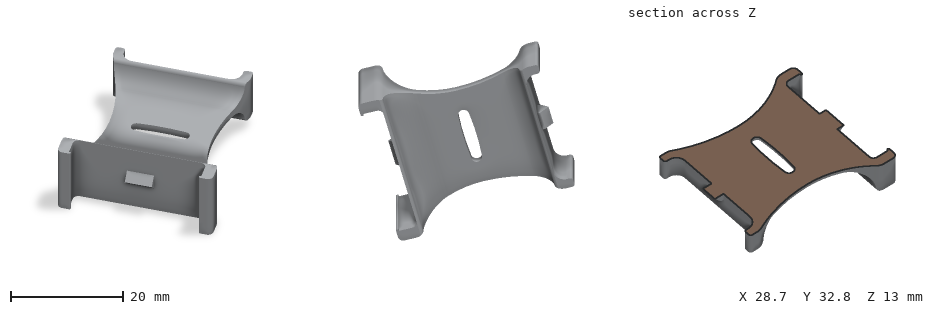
import cadquery as cq
import math

WEB_THICKNESS = 1.4
WAIST_HALF_WIDTH = 9.45

PLATE_FACE_Y = 12.9
PLATE_THICKNESS = 0.55
CREST_HEIGHT = 0.8
FLANK_BLEND_RADIUS = 2.5

FRONT_HEIGHT = 13.0
FRONT_HALF_WIDTH = 14.35
FRONT_ARM_LENGTH = 4.0
FRONT_WAIST_RADIUS = 19.5
FRONT_COVE_LENGTH = 5.4
FRONT_TIP_RADIUS = 1.0
FRONT_CHANNEL_HALF_WIDTH = 12.22
FRONT_CHANNEL_RADIUS = 1.0
LIP_HALF_GAP = 11.85
LIP_THICKNESS = 0.5
LIP_RADIUS = 0.25

BACK_HEIGHT = 8.9
BACK_HALF_WIDTH = 12.72
BACK_ARM_LENGTH = 3.0
BACK_WAIST_RADIUS = 30.0
BACK_COVE_LENGTH = 3.37
BACK_TIP_RADIUS = 0.5
BACK_CHANNEL_HALF_WIDTH = 10.95
BACK_CHANNEL_RADIUS = 2.0

SLOT_HALF_LENGTH = 5.4
SLOT_END_RADIUS = 1.0
SLOT_MID_HALF_WIDTH = 1.2

TAB_PROJECTION = 1.5
FRONT_TAB_WIDTH = 5.0
BACK_TAB_WIDTH = 3.4
BACK_TAB_BASE = 0.5

FRONT_END_Y = PLATE_FACE_Y + FRONT_ARM_LENGTH
BACK_END_Y = PLATE_FACE_Y + BACK_ARM_LENGTH


def half_end_outline(half_width, end_y, waist_radius, tip_radius):
    """Solid plan of one end, pointing to +Y, with concave flanks and rounded tips."""
    waist_center_x = WAIST_HALF_WIDTH + waist_radius
    blend_x = half_width - FLANK_BLEND_RADIUS
    center_distance = waist_radius + FLANK_BLEND_RADIUS
    blend_y = math.sqrt(center_distance**2 - (waist_center_x - blend_x) ** 2)
    join_angle = math.asin(blend_y / center_distance)

    def waist_point(angle):
        x = waist_center_x - waist_radius * math.cos(angle)
        return (x, waist_radius * math.sin(angle))

    blend_mid = (
        blend_x + FLANK_BLEND_RADIUS * math.cos(join_angle / 2),
        blend_y - FLANK_BLEND_RADIUS * math.sin(join_angle / 2),
    )
    tip_center = (half_width - tip_radius, end_y - tip_radius)
    tip_offset = tip_radius * math.sqrt(0.5)
    tip_mid = (tip_center[0] + tip_offset, tip_center[1] + tip_offset)
    right_half = (
        cq.Workplane("XY")
        .moveTo(0, 0)
        .lineTo(WAIST_HALF_WIDTH, 0)
        .threePointArc(waist_point(join_angle / 2), waist_point(join_angle))
        .threePointArc(blend_mid, (half_width, blend_y))
        .lineTo(half_width, tip_center[1])
        .threePointArc(tip_mid, (tip_center[0], end_y))
        .lineTo(0, end_y)
        .close()
        .extrude(FRONT_HEIGHT / 2, both=True)
    )
    return right_half.union(right_half.mirror("YZ"))


def channel(half_width, length, corner_radius):
    """Recess between two arms, pointing to +Y, with rounded inner corners."""
    return (
        cq.Workplane("XY")
        .center(0, PLATE_FACE_Y + length)
        .rect(2 * half_width, 2 * length)
        .extrude(FRONT_HEIGHT / 2, both=True)
        .edges("|Z and <Y")
        .fillet(corner_radius)
    )


def round_inner_tips(body, half_gap, end_y, radius):
    """Round the two vertical edges where the gap between the arms meets their ends."""
    reach = radius / 2
    inner_tips = cq.selectors.BoxSelector(
        (-half_gap - reach, end_y - reach, -FRONT_HEIGHT),
        (half_gap + reach, end_y + reach, FRONT_HEIGHT),
    )
    return body.edges("|Z").edges(inner_tips).fillet(radius)


def front_end():
    """Tall end, built pointing to +Y and turned to the front."""
    lip_y = FRONT_END_Y - LIP_THICKNESS
    body = half_end_outline(FRONT_HALF_WIDTH, FRONT_END_Y, FRONT_WAIST_RADIUS, FRONT_TIP_RADIUS)
    recess = channel(FRONT_CHANNEL_HALF_WIDTH, FRONT_ARM_LENGTH, FRONT_CHANNEL_RADIUS)
    below_lips = cq.Workplane("XY").box(2 * FRONT_HALF_WIDTH, 2 * lip_y, FRONT_HEIGHT)
    gap = (
        cq.Workplane("XY")
        .center(0, FRONT_END_Y - LIP_THICKNESS / 2)
        .rect(2 * LIP_HALF_GAP, LIP_THICKNESS)
        .extrude(FRONT_HEIGHT / 2, both=True)
    )
    body = body.cut(recess.intersect(below_lips)).cut(gap)
    body = round_inner_tips(body, LIP_HALF_GAP, FRONT_END_Y, LIP_RADIUS)
    return body.mirror("XZ")


def back_end():
    """Low end with plain arms whose tips are rounded on both sides."""
    body = half_end_outline(BACK_HALF_WIDTH, BACK_END_Y, BACK_WAIST_RADIUS, BACK_TIP_RADIUS)
    body = body.cut(channel(BACK_CHANNEL_HALF_WIDTH, BACK_ARM_LENGTH, BACK_CHANNEL_RADIUS))
    return round_inner_tips(body, BACK_CHANNEL_HALF_WIDTH, BACK_END_Y, BACK_TIP_RADIUS)


def side_profile(height, end_y, cove_length):
    """Side profile of one end, pointing to +Y, swept over the full width."""
    web_z = WEB_THICKNESS / 2
    top_z = height / 2
    inner_y = PLATE_FACE_Y - PLATE_THICKNESS
    crest_z = top_z - CREST_HEIGHT
    cove_height = crest_z - web_z
    cove_start_y = inner_y - cove_length
    cove_radius = (cove_length**2 + cove_height**2) / (2 * cove_height)
    cove_half_sweep = math.atan2(cove_height, cove_length)
    cove_mid = (
        cove_start_y + cove_radius * math.sin(cove_half_sweep),
        web_z + cove_radius * (1 - math.cos(cove_half_sweep)),
    )
    crest_radius = (PLATE_THICKNESS**2 + CREST_HEIGHT**2) / (2 * PLATE_THICKNESS)
    crest_half_sweep = math.atan2(PLATE_THICKNESS, CREST_HEIGHT)
    crest_mid = (
        inner_y + crest_radius * (1 - math.cos(crest_half_sweep)),
        crest_z + crest_radius * math.sin(crest_half_sweep),
    )
    upper_half = (
        cq.Workplane("YZ")
        .moveTo(0, 0)
        .lineTo(0, web_z)
        .lineTo(cove_start_y, web_z)
        .threePointArc(cove_mid, (inner_y, crest_z))
        .threePointArc(crest_mid, (PLATE_FACE_Y, top_z))
        .lineTo(end_y, top_z)
        .lineTo(end_y, 0)
        .close()
        .extrude(FRONT_HALF_WIDTH, both=True)
    )
    return upper_half.union(upper_half.mirror("XY"))


def slot():
    """Slot cutter running along X."""
    end_x = SLOT_HALF_LENGTH - SLOT_END_RADIUS
    return (
        cq.Workplane("XY")
        .moveTo(-end_x, SLOT_END_RADIUS)
        .threePointArc((0, SLOT_MID_HALF_WIDTH), (end_x, SLOT_END_RADIUS))
        .threePointArc((SLOT_HALF_LENGTH, 0), (end_x, -SLOT_END_RADIUS))
        .threePointArc((0, -SLOT_MID_HALF_WIDTH), (-end_x, -SLOT_END_RADIUS))
        .threePointArc((-SLOT_HALF_LENGTH, 0), (-end_x, SLOT_END_RADIUS))
        .close()
        .extrude(WEB_THICKNESS, both=True)
    )


def wedge_tab(width, base_length):
    """Wedge with a horizontal ridge, pointing to +Y and rooted in the end plate."""
    root_y = PLATE_FACE_Y - PLATE_THICKNESS / 2
    base_y = PLATE_FACE_Y + base_length
    return (
        cq.Workplane("YZ")
        .moveTo(root_y, -TAB_PROJECTION)
        .lineTo(base_y, -TAB_PROJECTION)
        .lineTo(base_y + TAB_PROJECTION, 0)
        .lineTo(base_y, TAB_PROJECTION)
        .lineTo(root_y, TAB_PROJECTION)
        .close()
        .extrude(width / 2, both=True)
    )


front_sides = side_profile(FRONT_HEIGHT, FRONT_END_Y, FRONT_COVE_LENGTH).mirror("XZ")
back_sides = side_profile(BACK_HEIGHT, BACK_END_Y, BACK_COVE_LENGTH)
front = front_end().intersect(front_sides)
back = back_end().intersect(back_sides)
result = (
    front.union(back)
    .cut(slot())
    .union(wedge_tab(FRONT_TAB_WIDTH, 0).mirror("XZ"))
    .union(wedge_tab(BACK_TAB_WIDTH, BACK_TAB_BASE))
)